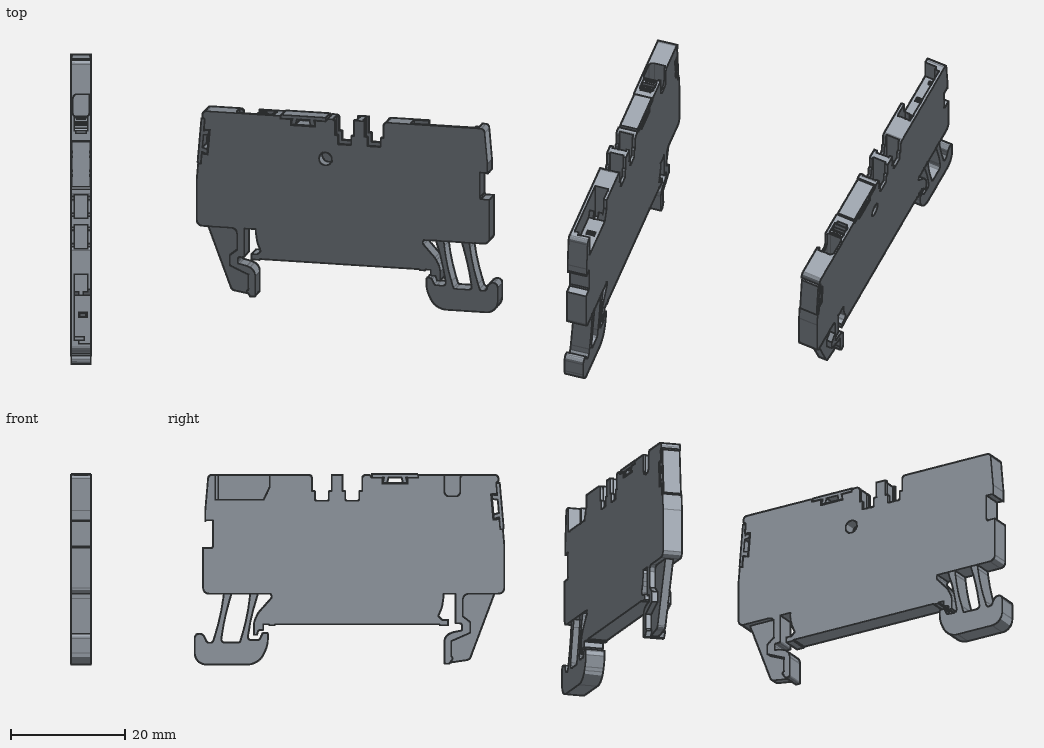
import cadquery as cq
import math

WIDTH = 3.5
HALF = WIDTH / 2
WALL = 0.55
SHAFT_HALF = HALF - WALL
MARKER_PROUD = 0.15
TOP = 33.4 - MARKER_PROUD
BELLY = 12.4
SEAT = 7.05
REAR = 27.1
FRONT = -25.65
END_LEAN = 5.0
BLOCK_TOP_RADIUS = 0.7
BLOCK_BOTTOM_RADIUS = 1.05
NOTCH_BEVEL = 0.15
JOIN = 0.55

MARKER_LENGTH = 8.15
MARKER_SIDE_GAP = 0.15
PLATE_SEAT = 0.5
PLATE_END_SLOPE = 0.2
SEAT_LEAD_IN = 0.4
LEG_DEPTH = 1.4
LEG_OUTER_ROOT = 1.95
LEG_OUTER_TIP = 2.15
LEG_INNER_ROOT = 1.15
LEG_INNER_TIP = 1.35
LEG_ROOM_HALF = 2.2
LEG_ROOM_RELIEF = 0.15
TOP_MARKER_Y = 7.95
END_MARKER_Z = 27.75
END_FACE_Y = 26.5

REAR_SHAFT_Y = 0.5
FRONT_SHAFT_Y = -4.8
SHAFT_LENGTH = 4.2
SHAFT_DEPTH = 7.6
SLOT_WIDE = 3.4
SLOT_NARROW = 2.4
SLOT_STEP_Z = 30.4
SLOT_FLOOR_Z = 28.75
SLOT_MOUTH_RADIUS = 0.65
SLOT_CORNER_RADIUS = 0.2

ENTRY_BACK = 20.2
ENTRY_FRONT = 16.25
ENTRY_HALF = 1.4
ENTRY_DEPTH = 6.5
ENTRY_BACK_RADIUS = 0.75
ENTRY_FRONT_RADIUS = 0.45
SIDE_OPENING_BACK = 19.4
SIDE_OPENING_FRONT = 16.6
SIDE_OPENING_DEPTH = 3.8
SIDE_OPENING_RADIUS = 0.9
SIDE_OPENING_MOUTH_RADIUS = 0.6
PUSHER_BACK = 16.0
GROOVE_BACK = 14.7
GROOVE_FRONT = 14.2
GROOVE_DEPTH = 1.6
GROOVE_STEP_LENGTH = 0.6
GROOVE_STEP_DEPTH = 0.45
GROOVE_LEAD_DEPTH = 0.55
GROOVE_SLOPE = 0.2
PUSHER_FRONT = 13.8
PUSHER_LENGTH = 4.35
PUSHER_DROP = 0.15
PUSHER_NOTCH_HALF = 0.7
PUSHER_NOTCH_LENGTH = 0.25
PUSHER_NOTCH_DEPTH = 0.25
TIP_NOTCH_HALF = 0.9
TIP_NOTCH_FRONT = 13.3
TIP_NOTCH_DEPTH = 1.1

CHAMBER_SHAFT_BACK = -11.35
CHAMBER_SHAFT_FRONT = -14.4
CHAMBER_SHAFT_DEPTH = 7.6
CHAMBER_DEPTH = 4.35
CHAMBER_WALL_END = -14.0
RAMP_FOOT = -15.0
RAMP_HEIGHT = 2.15
RAMP_NOTCH_HALF = 0.405
CHAMBER_FRONT = -23.55
CORNER_POST_BACK = -22.95
CORNER_POST_SIDE = -0.45
CORNER_POCKET_BACK = -22.3
CORNER_POCKET_SIDE = 0.6
CORNER_POCKET_DEPTH = 0.55

TIP_BACK = -18.05
TIP_FRONT = -18.9
TIP_SIDE_LOW = -0.405
TIP_SIDE_HIGH = 1.1
TIP_HEIGHT = 1.6
TIP_RIM = 0.2
TIP_DISH_DEPTH = 0.25

TEST_HOLE_Y = 3.9
TEST_HOLE_Z = 26.0
TEST_HOLE_DIAMETER = 2.35
TEST_HOLE_DEPTH = 2.45

WEB_THICKNESS = 1.45
FRONT_FOOT_WIDTH = 3.45


def prism(corners, width=WIDTH):
    """Extrude a Y-Z outline symmetrically along X; corners are (y, z) or (y, z, radius)."""
    spans = []
    count = len(corners)
    for i, corner in enumerate(corners):
        y, z = corner[:2]
        radius = corner[2] if len(corner) == 3 else 0
        if radius == 0:
            spans.append([(y, z)])
            continue
        to_last = cq.Vector(*corners[i - 1][:2]) - cq.Vector(y, z)
        to_next = cq.Vector(*corners[(i + 1) % count][:2]) - cq.Vector(y, z)
        half_angle = to_last.getAngle(to_next) / 2
        setback = radius / math.tan(half_angle)
        bisector = (to_last.normalized() + to_next.normalized()).normalized()
        middle_offset = radius / math.sin(half_angle) - radius
        here = cq.Vector(y, z)
        points = (
            here + to_last.normalized() * setback,
            here + bisector * middle_offset,
            here + to_next.normalized() * setback,
        )
        spans.append([(p.x, p.y) for p in points])
    outline = cq.Workplane("YZ").moveTo(*spans[0][-1])
    for span in spans[1:] + spans[:1]:
        outline = outline.lineTo(*span[0])
        if len(span) == 3:
            outline = outline.threePointArc(span[1], span[2])
    return outline.wire().extrude(width / 2, both=True)


def box(x_range, y_range, z_range):
    """Box between pairs of limits, given in any order."""
    limits = [sorted(pair) for pair in (x_range, y_range, z_range)]
    sizes = [high - low for low, high in limits]
    origin = tuple(low for low, high in limits)
    return cq.Workplane("XY").box(*sizes, centered=False).translate(origin)


def on_top(shape):
    """Place a marker shape, modelled about the origin with its face at z = 0, on the top face."""
    return shape.translate((0, TOP_MARKER_Y, TOP))


def on_rear(shape):
    """Place a marker shape on the leaning rear face."""
    turned = shape.rotate((0, 0, 0), (1, 0, 0), END_LEAN - 90)
    return turned.translate((0, END_FACE_Y, END_MARKER_Z))


MARKER_PLACES = (on_top, on_rear)


def upper_block():
    lean = math.tan(math.radians(END_LEAN))
    rear_top = END_FACE_Y - (TOP - END_MARKER_Z) * lean
    rear_knee = END_MARKER_Z - (REAR - END_FACE_Y) / lean
    front_lip = -25.25
    front_knee = 27.0
    front_top = front_lip + (TOP - front_knee) * lean
    notch_floor = -23.9
    notch_top = 25.25
    notch_bottom = 20.45
    return prism([
        (REAR, BELLY, BLOCK_BOTTOM_RADIUS),
        (REAR, rear_knee),
        (rear_top, TOP, BLOCK_TOP_RADIUS),
        (front_top, TOP, BLOCK_TOP_RADIUS),
        (front_lip, front_knee),
        (front_lip, notch_top - NOTCH_BEVEL),
        (front_lip + NOTCH_BEVEL, notch_top),
        (notch_floor, notch_top),
        (notch_floor, notch_bottom + 2 * NOTCH_BEVEL),
        (notch_floor - NOTCH_BEVEL, notch_bottom),
        (FRONT, notch_bottom),
        (FRONT, BELLY, BLOCK_BOTTOM_RADIUS),
    ])


def rail_seat():
    """Middle portion that rests on the rail, with a rear lip and a front hook."""
    return prism([
        (16.5, BELLY + JOIN),
        (16.5, BELLY - 0.55),
        (16.2, 10.05, 3.25),
        (15.55, 8.5, 0.15),
        (16.2, 7.85, 0.2),
        (17.25, 7.85),
        (17.25, SEAT - 0.15),
        (15.85, SEAT - 0.15),
        (15.7, SEAT),
        (-13.0, SEAT),
        (-13.1, SEAT - 0.15),
        (-14.0, SEAT - 0.15),
        (-14.1, SEAT),
        (-15.1, SEAT),
        (-15.1, 6.1),
        (-15.95, 6.0, 0.2),
        (-16.2, 5.2),
        (-16.75, 5.2),
        (-16.75, 7.55, 2.7),
        (-15.95, 9.15, 1.9),
        (-13.55, 11.8, 0.45),
        (-13.85, BELLY, 0.2),
        (-13.85, BELLY + JOIN),
    ])


def rear_foot():
    """Rigid foot: a full-width rim in front of a thin web."""
    web = prism([
        (25.4, BELLY + JOIN),
        (25.4, BELLY),
        (21.05, 0.85, 0.9),
        (17.45, 0.3),
        (17.1, 4.35),
        (19.85, 5.95),
        (19.85, 7.3),
        (19.25, BELLY + JOIN),
    ], WEB_THICKNESS)
    rim = prism([
        (20.95, BELLY + JOIN),
        (20.95, BELLY),
        (19.85, BELLY, 1.05),
        (19.85, 8.45),
        (21.15, 7.45),
        (21.15, 5.6),
        (17.8, 4.1),
        (17.8, 1.5),
        (18.1, 1.1),
        (17.45, 0.15),
        (16.6, 0.15, 0.2),
        (16.6, 5.05, 1.6),
        (18.1, 5.7, 0.25),
        (19.7, 6.0, 0.2),
        (19.7, 7.2, 0.4),
        (18.55, 7.2, 0.2),
        (18.55, BELLY + JOIN),
    ])
    return rim.union(web)


def front_foot():
    """Spring foot: a hooked clip hanging on two curved leaf springs."""
    clip = prism([
        (-16.0, BELLY + JOIN),
        (-16.0, BELLY),
        (-17.25, 8.7, 37.95),
        (-17.85, 4.35, 0.55),
        (-15.8, 4.35, 0.45),
        (-15.2, 5.6, 0.25),
        (-14.25, 5.6, 0.25),
        (-14.25, 3.45, 4.9),
        (-15.9, 0, 3.25),
        (-27.1, 0, 2.05),
        (-27.1, 5.4, 0.75),
        (-25.6, 5.4, 1.05),
        (-24.95, 3.85, 0.55),
        (-23.95, 3.85, 0.55),
        (-22.55, 8.3, 37.95),
        (-22.0, BELLY),
        (-22.0, BELLY + JOIN),
    ], FRONT_FOOT_WIDTH)
    spring_gap = prism([
        (-17.4, BELLY),
        (-17.85, 8.4, 35.25),
        (-19.2, 3.9, 0.3),
        (-22.5, 3.9, 0.55),
        (-21.9, 8.15, 43.4),
        (-20.65, BELLY),
    ])
    return clip.cut(spring_gap)


def marker_recess():
    """Seat for one marker, modelled about the origin with the housing face at z = 0."""
    half_length = MARKER_LENGTH / 2
    seat = box((-HALF, HALF), (-half_length, half_length), (-PLATE_SEAT, MARKER_PROUD + JOIN))
    leg_room = box((-HALF, HALF), (-LEG_ROOM_HALF, LEG_ROOM_HALF), (-LEG_DEPTH, 0))
    lead_in = prism([
        (-half_length, -PLATE_SEAT),
        (-half_length - SEAT_LEAD_IN, 0),
        (-half_length, 0),
    ])
    recess = seat.union(leg_room).union(lead_in)
    for side in (-1, 1):
        relief = box(
            (side * HALF, side * (HALF - LEG_ROOM_RELIEF)),
            (-LEG_ROOM_HALF, LEG_ROOM_HALF),
            (-LEG_DEPTH - LEG_ROOM_RELIEF, 0),
        )
        recess = recess.union(relief)
    return recess


def plug_shaft(centre, rounded_side):
    """Deep shaft with a stepped slot through both side walls, rounded at one side of its mouth."""
    wide = SLOT_WIDE / 2
    narrow = SLOT_NARROW / 2
    above = TOP + JOIN
    slot = prism([
        (centre - wide, above),
        (centre - wide, SLOT_STEP_Z),
        (centre - narrow, SLOT_STEP_Z, SLOT_CORNER_RADIUS),
        (centre - narrow, SLOT_FLOOR_Z, SLOT_CORNER_RADIUS),
        (centre + narrow, SLOT_FLOOR_Z, SLOT_CORNER_RADIUS),
        (centre + narrow, SLOT_STEP_Z, SLOT_CORNER_RADIUS),
        (centre + wide, SLOT_STEP_Z),
        (centre + wide, above),
    ])
    wall = centre + rounded_side * wide
    mouth_end = wall + rounded_side * (SLOT_MOUTH_RADIUS + JOIN)
    mouth = prism([
        (centre, above),
        (mouth_end, above),
        (mouth_end, TOP),
        (wall, TOP, SLOT_MOUTH_RADIUS),
        (wall, SLOT_STEP_Z),
        (centre, SLOT_STEP_Z),
    ])
    reach = SHAFT_LENGTH / 2
    shaft = box((-SHAFT_HALF, SHAFT_HALF), (centre - reach, centre + reach), (TOP - SHAFT_DEPTH, above))
    return slot.union(mouth).union(shaft)


def wire_entry():
    """Rounded funnel with a U-shaped opening through the +X wall."""
    funnel = box((-ENTRY_HALF, ENTRY_HALF), (ENTRY_FRONT, ENTRY_BACK), (TOP - ENTRY_DEPTH, TOP))
    funnel = funnel.edges("|Z and <X and >Y").fillet(ENTRY_BACK_RADIUS)
    funnel = funnel.edges("|Z and <Y").fillet(ENTRY_FRONT_RADIUS)
    floor = TOP - SIDE_OPENING_DEPTH
    mouth_back = SIDE_OPENING_BACK + SIDE_OPENING_MOUTH_RADIUS + JOIN
    opening = prism([
        (mouth_back, TOP + JOIN),
        (mouth_back, TOP),
        (SIDE_OPENING_BACK, TOP, SIDE_OPENING_MOUTH_RADIUS),
        (SIDE_OPENING_BACK, floor, SIDE_OPENING_RADIUS),
        (SIDE_OPENING_FRONT, floor, SIDE_OPENING_RADIUS),
        (SIDE_OPENING_FRONT, TOP + JOIN),
    ])
    inner_half = box((-HALF, 0), (ENTRY_FRONT, mouth_back), (floor, TOP + JOIN))
    return funnel.union(opening.cut(inner_half))


def pusher_shaft():
    shaft = box((-SHAFT_HALF, SHAFT_HALF), (PUSHER_FRONT, PUSHER_BACK), (TOP - PUSHER_LENGTH, TOP))
    tip_notch = box(
        (-TIP_NOTCH_HALF, TIP_NOTCH_HALF), (TIP_NOTCH_FRONT, PUSHER_FRONT), (TOP - TIP_NOTCH_DEPTH, TOP)
    )
    return shaft.union(tip_notch)


def front_chamber():
    floor = TOP - CHAMBER_DEPTH
    shaft_floor = TOP - CHAMBER_SHAFT_DEPTH
    shaft = box(
        (-SHAFT_HALF, SHAFT_HALF), (CHAMBER_SHAFT_FRONT, CHAMBER_SHAFT_BACK), (shaft_floor, TOP)
    )
    ramp_notch = box(
        (-RAMP_NOTCH_HALF, RAMP_NOTCH_HALF), (RAMP_FOOT, CHAMBER_SHAFT_FRONT), (shaft_floor, TOP)
    )
    bay = prism([
        (CHAMBER_WALL_END, TOP),
        (CHAMBER_WALL_END, floor + RAMP_HEIGHT),
        (RAMP_FOOT, floor),
        (CHAMBER_FRONT, floor),
        (CHAMBER_FRONT, TOP),
    ])
    side_wall = box((-HALF, -SHAFT_HALF), (CHAMBER_FRONT, CHAMBER_WALL_END), (floor, TOP))
    corner_post = box((-HALF, CORNER_POST_SIDE), (CHAMBER_FRONT, CORNER_POST_BACK), (floor, TOP))
    corner_pocket = box(
        (-SHAFT_HALF, CORNER_POCKET_SIDE),
        (CORNER_POST_BACK, CORNER_POCKET_BACK),
        (floor - CORNER_POCKET_DEPTH, floor),
    )
    bay = bay.cut(side_wall).cut(corner_post)
    return bay.union(shaft).union(ramp_notch).union(corner_pocket)


def tip_block():
    """Block that the contact tip fills in the chamber floor."""
    floor = TOP - CHAMBER_DEPTH
    return box((TIP_SIDE_LOW, TIP_SIDE_HIGH), (TIP_FRONT, TIP_BACK), (floor - TIP_HEIGHT, floor))


def test_hole():
    drill = cq.Workplane("YZ").center(TEST_HOLE_Y, TEST_HOLE_Z).circle(TEST_HOLE_DIAMETER / 2)
    return drill.extrude(TEST_HOLE_DEPTH).translate((-HALF, 0, 0))


def make_housing():
    housing = upper_block().union(rail_seat()).union(rear_foot()).union(front_foot())
    for place in MARKER_PLACES:
        housing = housing.cut(place(marker_recess()))
    for centre, rounded_side in ((REAR_SHAFT_Y, 1), (FRONT_SHAFT_Y, -1)):
        housing = housing.cut(plug_shaft(centre, rounded_side))
    for cut in (wire_entry(), pusher_shaft(), front_chamber(), tip_block(), test_hole()):
        housing = housing.cut(cut)
    return housing


def make_marker():
    """Marker plate with two splayed legs, modelled about the origin with the housing face at z = 0."""
    half_length = MARKER_LENGTH / 2
    width = WIDTH - 2 * MARKER_SIDE_GAP
    marker = prism([
        (half_length, -PLATE_SEAT),
        (half_length, 0),
        (half_length - PLATE_END_SLOPE, MARKER_PROUD),
        (-half_length, MARKER_PROUD),
        (-half_length, -PLATE_SEAT),
    ], width)
    for side in (-1, 1):
        leg = prism([
            (side * LEG_INNER_ROOT, -PLATE_SEAT),
            (side * LEG_OUTER_ROOT, -PLATE_SEAT),
            (side * LEG_OUTER_TIP, -LEG_DEPTH),
            (side * LEG_INNER_TIP, -LEG_DEPTH),
        ], width)
        marker = marker.union(leg)
    return marker


def make_pusher():
    """Pusher with a stepped top and a screwdriver groove across it."""
    face = TOP - PUSHER_DROP
    body = prism([
        (PUSHER_BACK, TOP - PUSHER_LENGTH),
        (PUSHER_BACK, face),
        (GROOVE_BACK + GROOVE_STEP_LENGTH, face),
        (GROOVE_BACK + GROOVE_STEP_LENGTH - GROOVE_SLOPE, face - GROOVE_STEP_DEPTH),
        (GROOVE_BACK + GROOVE_SLOPE, face - GROOVE_STEP_DEPTH),
        (GROOVE_BACK, face - GROOVE_STEP_DEPTH - GROOVE_SLOPE),
        (GROOVE_BACK, face - GROOVE_DEPTH),
        (GROOVE_FRONT, face - GROOVE_DEPTH),
        (GROOVE_FRONT, face - GROOVE_LEAD_DEPTH),
        (PUSHER_FRONT, face),
        (PUSHER_FRONT, TOP - PUSHER_LENGTH),
    ], 2 * SHAFT_HALF)
    back_notch = box(
        (-PUSHER_NOTCH_HALF, PUSHER_NOTCH_HALF),
        (PUSHER_BACK - PUSHER_NOTCH_LENGTH, PUSHER_BACK),
        (face - PUSHER_NOTCH_DEPTH, face),
    )
    return body.cut(back_notch)


def make_contact_tip():
    """Contact tip, level with the chamber floor, with a dished top."""
    floor = TOP - CHAMBER_DEPTH
    dish = box(
        (TIP_SIDE_LOW + TIP_RIM, TIP_SIDE_HIGH - TIP_RIM),
        (TIP_FRONT + TIP_RIM, TIP_BACK - TIP_RIM),
        (floor - TIP_DISH_DEPTH, floor),
    )
    return tip_block().cut(dish)


housing = make_housing()
markers = [place(make_marker()) for place in MARKER_PLACES]
pusher = make_pusher()
contact_tip = make_contact_tip()

result = cq.Compound.makeCompound([
    housing.val(),
    *[marker.val() for marker in markers],
    pusher.val(),
    contact_tip.val(),
])